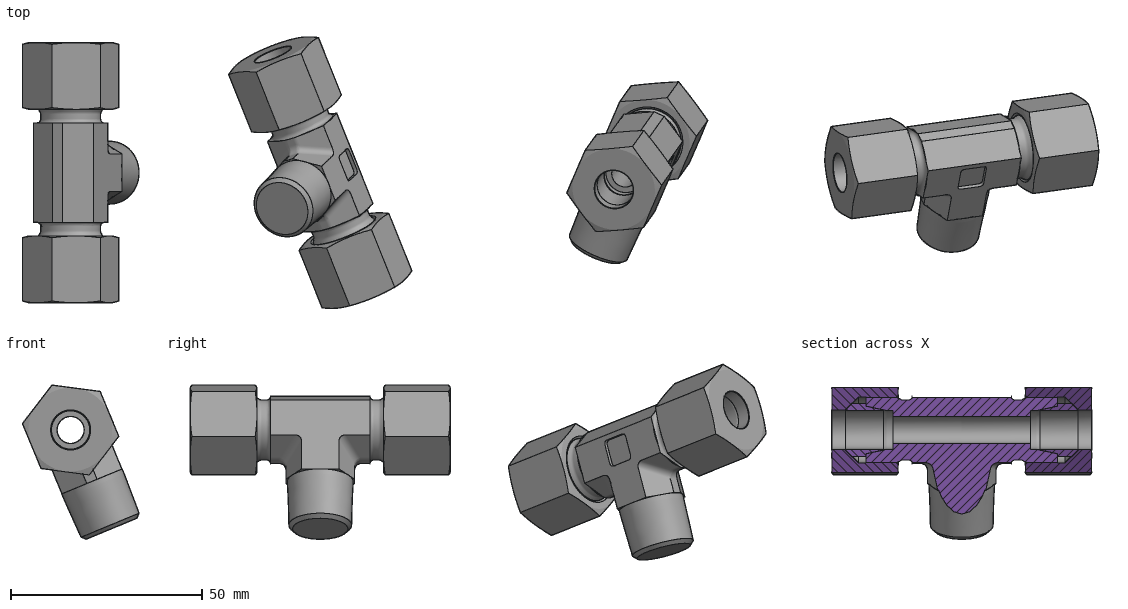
import cadquery as cq
import math


overall_length = 68.0
run_end = overall_length / 2
block_half_length = 13.0
nut_length = 17.5
nut_inner_end = run_end - nut_length
branch_lean = 22.5

block_flats = 17.0
corner_flats = 17.95
branch_hex_end = 14.55
crotch_radius = 2.0

stud_root_diameter = 17.15
stud_tip_diameter = 16.45
stud_cylinder_length = 1.4
stud_end = 27.95
stud_chamfer = 1.0

thread_diameter = 17.15
neck_diameter = 15.7
neck_fillet = 1.0
runout_radius = 1.2
runout_angle = math.radians(30)
neck_end = 15.2
thread_end = 25.0

bore_diameter = 7.0
tube_diameter = 10.0
tube_stop = 18.0
cone_mouth_diameter = 12.3
cone_half_angle = math.radians(12)
cone_length = (cone_mouth_diameter - tube_diameter) / 2 / math.tan(cone_half_angle)

recess_size = 7.15
recess_corner_radius = 1.0
recess_depth = 1.0

nut_flats = 22.0
nut_face_diameter = 21.9
nut_chamfer_angle = math.radians(15)
nut_bore_diameter = 10.2
nut_bore_chamfer = 0.15
nut_mouth_diameter = 18.2

ring_collar_diameter = 14.0
ring_back = 30.4
ring_nose = 20.4
ring_mouth_chamfer = 0.4


def hexagon_outline(plane, across_flats):
    """Hexagon with flats facing +X and -X, ready to extrude."""
    across_corners = across_flats / math.cos(math.pi / 6)
    return cq.Workplane(plane).transformed(rotate=(0, 0, 30)).polygon(6, across_corners)


def revolve_about_run(profile):
    """Turn an outline of (radius, distance along Y) about the run axis."""
    return profile.close().revolve(360, (0, 0, 0), (0, 1, 0))


def turned(points):
    return revolve_about_run(cq.Workplane("XY").polyline(points))


def at_both_ends(body):
    return [body, body.mirror("XZ")]


def lean(body):
    return body.rotate((0, 0, 0), (0, 1, 0), -branch_lean)


def make_block():
    run = hexagon_outline("XZ", block_flats).extrude(block_half_length, both=True)
    run = run.intersect(cq.Workplane("XY").box(2 * block_flats, 2 * block_half_length, corner_flats))
    branch = hexagon_outline("XY", block_flats).extrude(-branch_hex_end)
    branch = branch.intersect(cq.Workplane("XY").box(2 * block_flats, corner_flats, 2 * branch_hex_end))
    block = run.union(branch)

    side_corner = block_flats / 2 * math.tan(math.pi / 6)
    edge_margin = 0.1
    crotch_edges = []
    for edge in block.edges().vals():
        middle = edge.Center()
        off_centre = side_corner < abs(middle.y) < block_half_length - crotch_radius
        under_run = -corner_flats / 2 - edge_margin < middle.z < -side_corner
        if off_centre and under_run and abs(middle.x) < block_flats / 2 - edge_margin:
            crotch_edges.append(edge)
    return block.newObject(crotch_edges).fillet(crotch_radius)


def make_stud():
    cylinder_end = branch_hex_end + stud_cylinder_length
    tip = stud_tip_diameter / 2
    root = stud_root_diameter / 2
    outline = [
        (0, -branch_hex_end),
        (root, -branch_hex_end),
        (root, -cylinder_end),
        (tip, -(stud_end - stud_chamfer)),
        (tip - stud_chamfer, -stud_end),
        (0, -stud_end),
    ]
    return cq.Workplane("XZ").polyline(outline).close().revolve(360, (0, 0, 0), (0, 1, 0))


def make_run_end():
    neck = neck_diameter / 2
    thread = thread_diameter / 2
    fillet_middle = neck_fillet * (1 - math.sqrt(0.5))
    arc_end_radius = neck + runout_radius * (1 - math.cos(runout_angle))
    arc_end = neck_end + runout_radius * math.sin(runout_angle)
    arc_middle = (
        neck + runout_radius * (1 - math.cos(runout_angle / 2)),
        neck_end + runout_radius * math.sin(runout_angle / 2),
    )
    thread_start = arc_end + (thread - arc_end_radius) / math.tan(runout_angle)
    profile = (
        cq.Workplane("XY")
        .moveTo(0, block_half_length)
        .lineTo(neck + neck_fillet, block_half_length)
        .threePointArc(
            (neck + fillet_middle, block_half_length + fillet_middle),
            (neck, block_half_length + neck_fillet),
        )
        .lineTo(neck, neck_end)
        .threePointArc(arc_middle, (arc_end_radius, arc_end))
        .lineTo(thread, thread_start)
        .lineTo(thread, thread_end)
        .lineTo(0, thread_end)
    )
    return revolve_about_run(profile)


def make_tube_socket():
    tube = tube_diameter / 2
    return turned([
        (0, 0),
        (bore_diameter / 2, 0),
        (bore_diameter / 2, tube_stop),
        (tube, tube_stop),
        (tube, thread_end - cone_length),
        (cone_mouth_diameter / 2, thread_end),
        (0, thread_end),
    ])


def make_recess():
    return (
        cq.Workplane("YZ", origin=(-block_flats / 2, 0, 0))
        .rect(recess_size, recess_size)
        .extrude(recess_depth)
        .edges("|X")
        .fillet(recess_corner_radius)
    )


def make_housing():
    housing = make_block().union(make_stud())
    for run_end_body in at_both_ends(make_run_end()):
        housing = housing.union(run_end_body)
    for socket in at_both_ends(make_tube_socket()):
        housing = housing.cut(socket)
    return housing.cut(make_recess())


def make_nut():
    blank = hexagon_outline("XZ", nut_flats).extrude(-nut_length).translate((0, nut_inner_end, 0))

    face = nut_face_diameter / 2
    reach = nut_flats
    chamfer_depth = (reach - face) * math.tan(nut_chamfer_angle)
    barrel = turned([
        (0, nut_inner_end),
        (face, nut_inner_end),
        (reach, nut_inner_end + chamfer_depth),
        (reach, run_end - chamfer_depth),
        (face, run_end),
        (0, run_end),
    ])

    thread = thread_diameter / 2
    mouth = nut_mouth_diameter / 2
    hole = nut_bore_diameter / 2
    cavity = turned([
        (0, nut_inner_end),
        (mouth, nut_inner_end),
        (thread, nut_inner_end + mouth - thread),
        (thread, ring_back - (thread - hole)),
        (hole, ring_back),
        (hole, run_end - nut_bore_chamfer),
        (hole + nut_bore_chamfer, run_end),
        (0, run_end),
    ])
    return blank.intersect(barrel).cut(cavity)


def make_cutting_ring():
    tube = tube_diameter / 2
    back = nut_bore_diameter / 2
    collar = ring_collar_diameter / 2
    mouth = cone_mouth_diameter / 2
    nose = mouth - (thread_end - ring_nose) * math.tan(cone_half_angle)
    return turned([
        (tube, ring_nose),
        (nose, ring_nose),
        (mouth, thread_end),
        (collar, thread_end),
        (collar, ring_back - (collar - back)),
        (back, ring_back),
        (tube, ring_back - ring_mouth_chamfer),
    ])


housing = lean(make_housing())
nuts = [lean(nut) for nut in at_both_ends(make_nut())]
cutting_rings = [lean(ring) for ring in at_both_ends(make_cutting_ring())]

result = cq.Compound.makeCompound([
    housing.val(),
    *[nut.val() for nut in nuts],
    *[ring.val() for ring in cutting_rings],
])